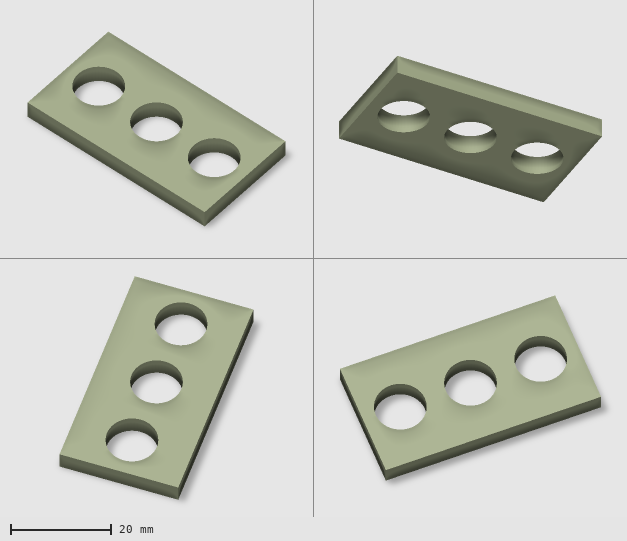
import cadquery as cq

length = 46.0
width = 25.0
thickness = 4.2

hole_diameter = 10.5
hole_pitch = 15.0
hole_count = 3

plate = cq.Workplane("XY").box(length, width, thickness)

result = (
    plate.faces(">Z")
    .workplane()
    .rarray(hole_pitch, 0.45, hole_count, 1)
    .hole(hole_diameter)
)